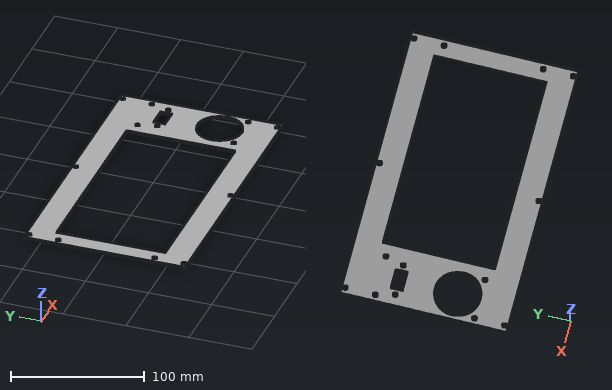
import cadquery as cq

panel_length = 217.0
panel_width = 128.5
panel_thickness = 1.6

window_length = 155.2
window_width = 86.1
window_x = -16.3

hole_diameter = 3.3
hole_edge_margin_x = 5.0
hole_edge_margin_y = 2.8
hole_x = panel_length / 2 - hole_edge_margin_x
edge_hole_y = panel_width / 2 - hole_edge_margin_y
inner_hole_y = 38.2

inner_hole_x = 71.6
column_x = (inner_hole_x + hole_x) / 2
round_opening_diameter = 35.0
round_opening_y = -21.3
socket_length = 15.5
socket_width = 9.0
socket_y = 23.9
socket_screw_spacing = 24.3


def cut_rectangle(body, x, y, length, width):
    """Cut a rectangular opening through the panel."""
    return body.faces(">Z").workplane(origin=(0, 0, 0)).center(x, y).rect(length, width).cutThruAll()


def cut_holes(body, centres, diameter):
    """Cut equal round holes through the panel."""
    return body.faces(">Z").workplane(origin=(0, 0, 0)).pushPoints(centres).hole(diameter)


edge_holes = [(x, y) for x in (-hole_x, 0, hole_x) for y in (-edge_hole_y, edge_hole_y)]
inner_holes = [(x, y) for x in (-hole_x, inner_hole_x, hole_x) for y in (-inner_hole_y, inner_hole_y)]
socket_holes = [(column_x + side * socket_screw_spacing / 2, socket_y) for side in (-1, 1)]

panel = cq.Workplane("XY").box(panel_length, panel_width, panel_thickness)
panel = cut_rectangle(panel, window_x, 0, window_length, window_width)
panel = cut_rectangle(panel, column_x, socket_y, socket_length, socket_width)
panel = cut_holes(panel, [(column_x, round_opening_y)], round_opening_diameter)
panel = cut_holes(panel, edge_holes + inner_holes + socket_holes, hole_diameter)

result = panel